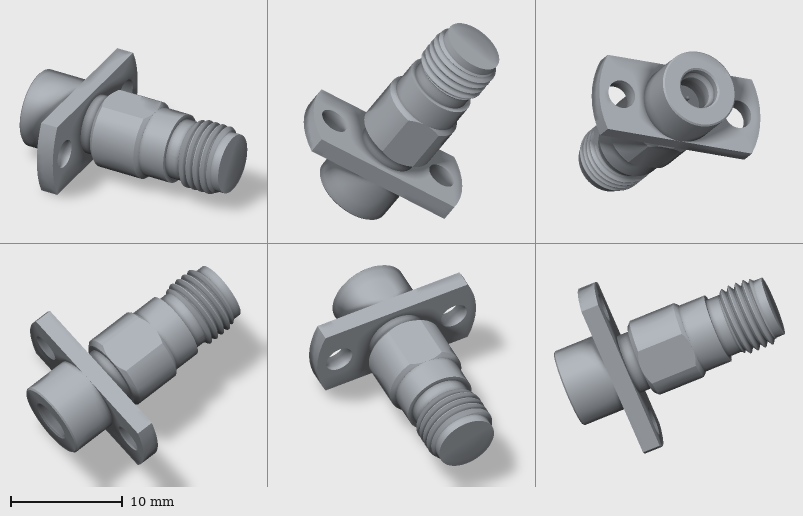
import cadquery as cq

total_length = 19.81
body_diameter = 7.13
body_edge_chamfer = 0.14

flange_start = 4.2
flange_thickness = 1.62
flange_span = 15.89
flange_height = body_diameter
mounting_hole_diameter = 2.61
mounting_hole_offset = 5.73

neck_diameter = 5.47
nut_start = 7.01
nut_end = 12.0
nut_chamfer = 0.38
collar_diameter = 6.35
collar_end = 14.46

thread_start = 15.65
thread_end = 19.04
thread_turns = 4.8
thread_pitch = (thread_end - thread_start) / thread_turns
thread_diameter = collar_diameter
thread_base_width = 0.67
thread_crest_width = 0.05
thread_root_overlap = 0.02
blank_clearance = 0.2
crest_position = 16.25

socket_mouth_diameter = 3.9
socket_diameter = 3.6
socket_inner_diameter = 3.05
taper_start = 0.9
taper_end = 1.35
relief_start = 2.22
relief_diameter = 3.17
socket_depth = 3.57
pin_diameter = 0.8
pin_tip_diameter = 0.38
pin_length = 1.19
pin_shoulder_length = 0.6

flange_end = flange_start + flange_thickness
neck_radius = neck_diameter / 2
thread_radius = thread_diameter / 2


def cylinder(diameter, start, end):
    """Solid cylinder on the X axis between two X positions."""
    return cq.Workplane("YZ", origin=(start, 0, 0)).circle(diameter / 2).extrude(end - start)


def make_body():
    """Round mating end with a small chamfer on its front rim."""
    return cylinder(body_diameter, 0, flange_end).faces("<X").chamfer(body_edge_chamfer)


def make_flange():
    """Disc cut to two flat sides, with a mounting hole in each ear."""
    slab = cq.Workplane("YZ", origin=(flange_start, 0, 0)).rect(flange_span, flange_height)
    flange = slab.extrude(flange_thickness).intersect(cylinder(flange_span, flange_start, flange_end))
    holes = (
        cq.Workplane("YZ", origin=(flange_start, 0, 0))
        .pushPoints([(-mounting_hole_offset, 0), (mounting_hole_offset, 0)])
        .circle(mounting_hole_diameter / 2)
        .extrude(flange_thickness)
    )
    return flange.cut(holes)


def make_nut():
    """Chamfered round nut with two wrench flats level with the collar."""
    nut_length = nut_end - nut_start
    nut = cylinder(body_diameter, nut_start, nut_end).faces("<X or >X").chamfer(nut_chamfer)
    flats = cq.Workplane("YZ", origin=(nut_start, 0, 0)).rect(body_diameter, collar_diameter)
    return nut.intersect(flats.extrude(nut_length))


def make_thread():
    """Right-handed helical ridge, trimmed by a blank with 45 degree ends."""
    root_radius = neck_radius - thread_root_overlap
    helix_start = crest_position - 2 * thread_pitch
    helix_length = thread_end + thread_pitch - helix_start
    helix = cq.Wire.makeHelix(thread_pitch, helix_length, root_radius)
    half_base = thread_base_width / 2
    half_crest = thread_crest_width / 2
    ridge = (
        cq.Workplane("XZ")
        .polyline([
            (root_radius, -half_base),
            (thread_radius, -half_crest),
            (thread_radius, half_crest),
            (root_radius, half_base),
        ])
        .close()
        .sweep(cq.Workplane(helix), isFrenet=True)
        .rotate((0, 0, 0), (0, 1, 0), 90)
        .translate((helix_start, 0, 0))
    )
    end_chamfer = thread_radius + blank_clearance - neck_radius
    blank = cylinder(thread_diameter + 2 * blank_clearance, thread_start, thread_end)
    blank = blank.faces("<X or >X").chamfer(end_chamfer)
    return ridge.intersect(blank)


def make_socket():
    """Socket cavity: flared mouth, taper to a narrower bore, then a wider relief."""
    mouth_depth = (socket_mouth_diameter - socket_diameter) / 2
    return (
        cq.Workplane("XY")
        .polyline([
            (0, 0),
            (0, socket_mouth_diameter / 2),
            (mouth_depth, socket_diameter / 2),
            (taper_start, socket_diameter / 2),
            (taper_end, socket_inner_diameter / 2),
            (relief_start, socket_inner_diameter / 2),
            (relief_start, relief_diameter / 2),
            (socket_depth, relief_diameter / 2),
            (socket_depth, 0),
        ])
        .close()
        .revolve(360, (0, 0, 0), (1, 0, 0))
    )


def make_pin():
    """Stepped contact pin with a rounded tip, standing on the socket floor."""
    tip_radius = pin_tip_diameter / 2
    shoulder = cylinder(pin_diameter, socket_depth - pin_shoulder_length, socket_depth)
    tip_center = socket_depth - pin_length + tip_radius
    tip = cylinder(pin_tip_diameter, tip_center, socket_depth)
    dome = cq.Workplane("YZ", origin=(tip_center, 0, 0)).sphere(tip_radius)
    return shoulder.union(tip).union(dome)


core = cylinder(neck_diameter, flange_end, total_length)
collar = cylinder(collar_diameter, nut_end, collar_end)
result = make_body().union(make_flange()).union(core).union(make_nut()).union(collar)
result = result.union(make_thread()).cut(make_socket()).union(make_pin())